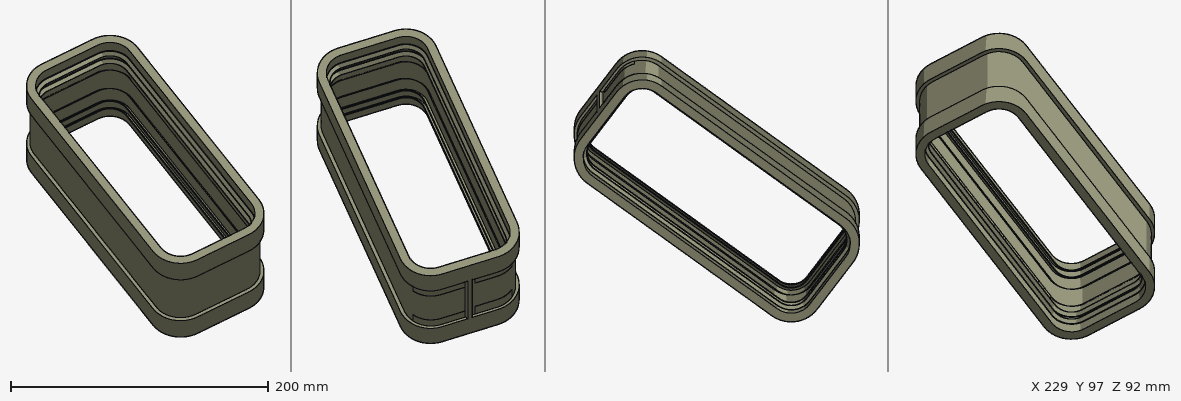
import cadquery as cq
import math

length = 229.0
width = 97.0
height = 92.0
collar_radius = 25.2
collar_wall = 7.0
collar_band = 20.5
collar_depth = 34.5

lip_reach = 3.0
lip_thickness = 0.7
lip_depths = (10.0, 19.5)

sleeve_inset = 3.0
sleeve_inset_rib = 2.3
sleeve_radius = 22.2
sleeve_bore_inset = 6.2
sleeve_bore_radius = 20.8

rib_base = 6.2
rib_top = 3.5
rib_y = 0.2
rib_flank_radius = 1.4
embed = 1.0

pad_relief = 0.11
pad_span_back = (3.5, 42.5)
pad_span_front = (-37.3, -5.0)
pad_upper_back = 10.3
pad_lower_back = 8.2
pad_upper_front = 9.0
pad_lower_front = 10.3

sleeve_height = height - 2 * collar_band


def rounded_block(x_min, x_max, size_y, radius, z_min, z_max):
    """Upright block with rounded vertical corners, centred on Y = 0."""
    return (
        cq.Workplane("XY", origin=((x_min + x_max) / 2, 0, z_min))
        .rect(x_max - x_min, size_y)
        .extrude(z_max - z_min)
        .edges("|Z")
        .fillet(radius)
    )


def collar_profile():
    """Wall section as (distance in from the outside, depth below the open end)."""
    tip = lip_thickness / math.sqrt(2)
    points = [(0, 0), (collar_wall, 0)]
    for depth in lip_depths:
        points += [
            (collar_wall, depth),
            (collar_wall + lip_reach, depth + lip_reach),
            (collar_wall + lip_reach - tip, depth + lip_reach + tip),
            (collar_wall, depth + 2 * tip),
        ]
    points += [
        (collar_wall, collar_depth),
        (sleeve_inset + embed, collar_depth),
        (sleeve_inset + embed, collar_band),
        (0, collar_band),
    ]
    return points


def make_collar():
    """Upper collar: the wall section carried once around the rounded rectangle."""
    half_x = length / 2
    half_y = width / 2
    path = (
        cq.Workplane("XY", origin=(0, 0, height))
        .moveTo(0, -half_y)
        .lineTo(half_x - collar_radius, -half_y)
        .radiusArc((half_x, -half_y + collar_radius), -collar_radius)
        .lineTo(half_x, half_y - collar_radius)
        .radiusArc((half_x - collar_radius, half_y), -collar_radius)
        .lineTo(-half_x + collar_radius, half_y)
        .radiusArc((-half_x, half_y - collar_radius), -collar_radius)
        .lineTo(-half_x, -half_y + collar_radius)
        .radiusArc((-half_x + collar_radius, -half_y), -collar_radius)
        .close()
    )
    section = [(-half_y + inward, height - depth) for inward, depth in collar_profile()]
    return cq.Workplane("YZ").polyline(section).close().sweep(path)


def sleeve_block(growth, z_min, z_max):
    """Solid sleeve outline, grown outward by the given amount."""
    return rounded_block(
        -length / 2 + sleeve_inset_rib - growth,
        length / 2 - sleeve_inset + growth,
        width - 2 * sleeve_inset + 2 * growth,
        sleeve_radius + growth,
        z_min,
        z_max,
    )


bore_half = length / 2 - sleeve_bore_inset
sleeve_bore = rounded_block(
    -bore_half, bore_half, width - 2 * sleeve_bore_inset, sleeve_bore_radius, 0, height
)


def make_sleeve():
    return sleeve_block(0, collar_band, height - collar_band).cut(sleeve_bore)


def make_rib():
    """Rib with S-curved flanks down the middle of the -X end, flush with the collars."""
    outer_x = -length / 2
    base_x = outer_x + sleeve_inset_rib
    middle_x = (outer_x + base_x) / 2
    root_x = base_x + embed
    half_base = rib_base / 2
    half_top = rib_top / 2
    half_middle = (half_base + half_top) / 2
    return (
        cq.Workplane("XY", origin=(0, rib_y, collar_band))
        .moveTo(root_x, -half_base)
        .lineTo(base_x, -half_base)
        .radiusArc((middle_x, -half_middle), -rib_flank_radius)
        .radiusArc((outer_x, -half_top), rib_flank_radius)
        .lineTo(outer_x, half_top)
        .radiusArc((middle_x, half_middle), rib_flank_radius)
        .radiusArc((base_x, half_base), -rib_flank_radius)
        .lineTo(root_x, half_base)
        .close()
        .extrude(sleeve_height)
    )


def make_pad(y_span, z_min, pad_height):
    """Shallow pad wrapped around part of the -X end."""
    y_min, y_max = y_span
    window = cq.Workplane("XY").box(
        sleeve_radius, y_max - y_min, pad_height, centered=False
    ).translate((-length / 2, y_min, z_min))
    return sleeve_block(pad_relief, z_min, z_min + pad_height).cut(sleeve_bore).intersect(window)


upper_collar = make_collar()
lower_collar = upper_collar.mirror("XY", (0, 0, height / 2))
sleeve_top = height - collar_band

result = make_sleeve().union(upper_collar).union(lower_collar).union(make_rib())
for y_span, upper, lower in (
    (pad_span_back, pad_upper_back, pad_lower_back),
    (pad_span_front, pad_upper_front, pad_lower_front),
):
    result = result.union(make_pad(y_span, sleeve_top - upper, upper))
    result = result.union(make_pad(y_span, collar_band, lower))